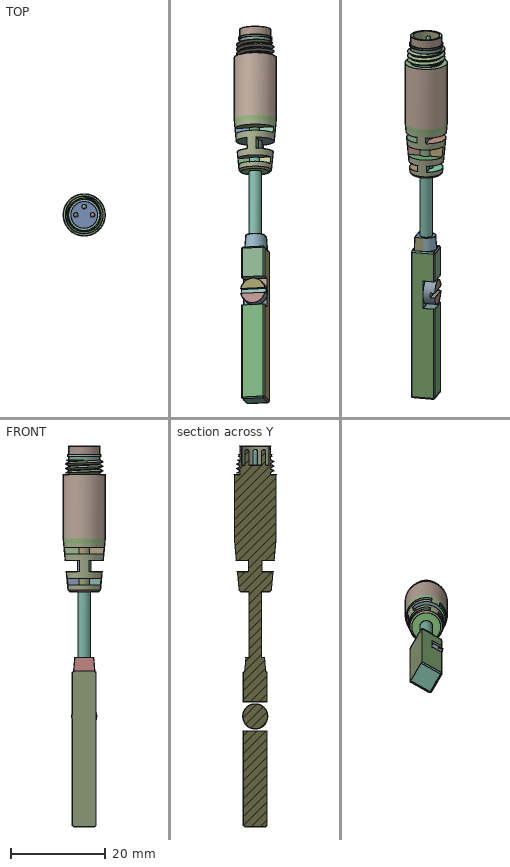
import cadquery as cq
import math

total_length = 81.0

housing_width = 5.1
housing_height = 33.1
housing_chamfer = 0.3
pocket_bottom = 20.4
pocket_height = 6.15
screw_radius = 2.7
screw_slot_width = 1.05
screw_slot_depth = 1.0

sleeve_height = 2.9
sleeve_top_radius = 2.0
sleeve_bottom_radius = 2.3
sleeve_flat_offset = 2.0

cable_radius = 1.4

relief_bottom = 50.0
relief_top = 60.35
relief_bottom_radius = 3.5
relief_chamfer = 0.4
relief_ring_height = 1.45
relief_slot_heights = [1.4, 2.35, 1.3]
web_thickness = 1.95
relief_core_radius = 1.45

body_diameter = 9.0
body_radius = body_diameter / 2
body_lip_step = 0.1
body_lip_radius = body_radius - body_lip_step
body_taper_height = 1.0
body_top = 74.9

plug_radius = 3.3
plug_bore_radius = 2.8
plug_bore_depth = 4.05
snap_ring_radius = 3.6
snap_ring_bottom = 78.8
snap_ring_height = 0.4
thread_diameter = 8.0
thread_radius = thread_diameter / 2
thread_pitch = 1.0
thread_ridge_width = 0.9
thread_bottom = 75.25
thread_top = 78.0
thread_root_overlap = 0.1
thread_start_angle = -180.0
pin_radius = 0.5
pin_circle_radius = 1.8
pin_recess = 0.7
pin_angles = [0, 90, 180]


def cylinder(radius, bottom, top):
    return cq.Workplane("XY").workplane(offset=bottom).circle(radius).extrude(top - bottom)


def make_housing():
    half_width = housing_width / 2
    block = cq.Workplane("XY").box(
        housing_width, housing_width, housing_height, centered=(True, True, False)
    )
    block = block.edges(">Y or (|Y and >Z) or (|Y and <Z)").chamfer(housing_chamfer)

    pocket = cq.Workplane("XY").box(
        housing_width, half_width, pocket_height, centered=(True, False, False)
    )
    block = block.cut(pocket.translate((0, 0, pocket_bottom)))

    screw_z = pocket_bottom + pocket_height / 2
    screw = cq.Workplane("XZ").center(0, screw_z).circle(screw_radius).extrude(-half_width)
    driver_slot = cq.Workplane("XY").box(2 * screw_radius, 2 * screw_slot_depth, screw_slot_width)
    screw = screw.cut(driver_slot.translate((0, half_width, screw_z)))
    return block.union(screw)


def draw_sleeve_section(workplane, radius):
    """Half round on the +Y side, straight on the -Y side."""
    return (
        workplane.moveTo(-radius, -sleeve_flat_offset)
        .lineTo(radius, -sleeve_flat_offset)
        .lineTo(radius, 0)
        .threePointArc((0, radius), (-radius, 0))
        .close()
    )


def make_sleeve():
    base = cq.Workplane("XY").workplane(offset=housing_height)
    lower = draw_sleeve_section(base, sleeve_bottom_radius)
    upper = draw_sleeve_section(lower.workplane(offset=sleeve_height), sleeve_top_radius)
    return upper.loft(ruled=True)


def make_connector_body():
    """Body, strain relief and plug tube as one turned shape."""
    profile = [
        (0, relief_bottom),
        (relief_bottom_radius - relief_chamfer, relief_bottom),
        (relief_bottom_radius, relief_bottom + relief_chamfer),
        (body_lip_radius, relief_top),
        (body_radius, relief_top + body_taper_height),
        (body_radius, body_top),
        (plug_radius, body_top),
        (plug_radius, total_length),
        (0, total_length),
    ]
    body = cq.Workplane("XZ").polyline(profile).close().revolve(360, (0, 0), (0, 1))
    body = body.union(
        cylinder(snap_ring_radius, snap_ring_bottom, snap_ring_bottom + snap_ring_height)
    )
    bore_floor = total_length - plug_bore_depth
    return body.cut(cylinder(plug_bore_radius, bore_floor, total_length))


def make_relief_slots():
    """Slot rings, each leaving a web across the cone and the cable core."""
    slots = cq.Workplane("XY")
    slot_bottom = relief_bottom + relief_ring_height
    for index, height in enumerate(relief_slot_heights):
        web_angle = 90 * (index % 2)
        web = cq.Workplane("XY").box(
            body_diameter, web_thickness, height, centered=(True, True, False)
        )
        web = web.rotate((0, 0, 0), (0, 0, 1), web_angle).translate((0, 0, slot_bottom))
        slot_top = slot_bottom + height
        slot = cylinder(body_radius, slot_bottom, slot_top)
        slot = slot.cut(cylinder(relief_core_radius, slot_bottom, slot_top)).cut(web)
        slots = slots.add(slot)
        slot_bottom = slot_top + relief_ring_height
    return slots.combine()


def make_thread():
    """Right-hand V ridge, trimmed flat at both ends."""
    root_radius = plug_radius - thread_root_overlap
    helix_bottom = thread_bottom - thread_pitch
    helix_height = thread_top - thread_bottom + 2 * thread_pitch
    half_ridge = thread_ridge_width / 2
    helix = cq.Wire.makeHelix(thread_pitch, helix_height, root_radius)
    ridge = (
        cq.Workplane("XZ")
        .polyline([
            (root_radius, -half_ridge),
            (thread_radius, 0),
            (root_radius, half_ridge),
        ])
        .close()
        .sweep(cq.Workplane(helix), isFrenet=True)
        .rotate((0, 0, 0), (0, 0, 1), thread_start_angle)
        .translate((0, 0, helix_bottom))
    )
    return ridge.intersect(cylinder(body_radius, thread_bottom, thread_top))


def make_pins():
    """Round-ended contact pins standing on the bore floor."""
    pins = cq.Workplane("XY")
    shoulder = total_length - pin_recess - pin_radius
    for angle in pin_angles:
        x = pin_circle_radius * math.cos(math.radians(angle))
        y = pin_circle_radius * math.sin(math.radians(angle))
        pin = cylinder(pin_radius, total_length - plug_bore_depth, shoulder)
        pin = pin.union(cq.Workplane("XY").sphere(pin_radius).translate((0, 0, shoulder)))
        pins = pins.add(pin.translate((x, y, 0)))
    return pins.combine()


cable = cylinder(cable_radius, housing_height, relief_bottom)
result = (
    make_connector_body()
    .cut(make_relief_slots())
    .union(make_thread())
    .union(make_pins())
    .union(cable)
    .union(make_sleeve())
    .union(make_housing())
)